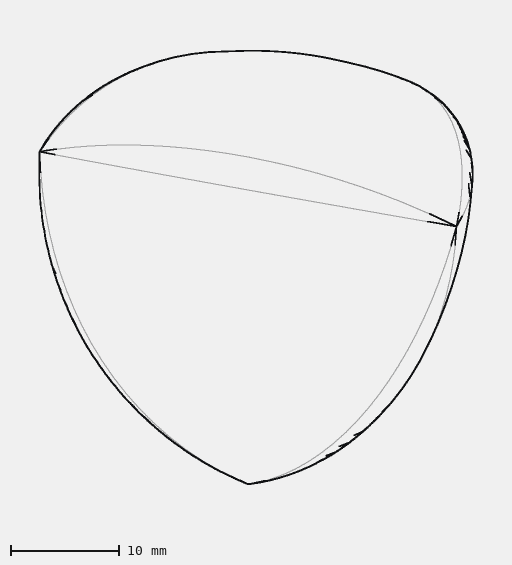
import cadquery as cq
import math

edge = 40.0
half_angle = 16.0
crown_height = 5.85
cutter_height = 10.0

face_height = edge * math.sqrt(3) / 2
depth = edge * math.sqrt(2 / 3)
corners = [
    cq.Vector(-edge / 2, 0, face_height / 3),
    cq.Vector(edge / 2, 0, face_height / 3),
    cq.Vector(0, 0, -2 * face_height / 3),
    cq.Vector(0, depth, 0),
]
center = cq.Vector(0, depth / 4, 0)

half_dihedral = math.acos(1 / 3) / 2
facet_angle = math.radians(half_angle)
run = face_height * math.cos(half_dihedral - facet_angle)
border_radius = math.sqrt(run**2 + (edge / 2) ** 2) - run
border_height = border_radius * math.cos(facet_angle)
border_offset = border_radius * math.sin(facet_angle)

sweep = math.acos(border_height / crown_height)
sweep_angle = math.degrees(sweep)
stretch = crown_height / border_radius
narrowing = border_offset / (border_radius * math.sin(sweep))


def face_ball(corner):
    """Ball centred on one corner and passing through the other three."""
    toward_center = center - corner
    return cq.Workplane(cq.Plane(corner, normal=toward_center)).sphere(edge)


def edge_cutter(start, end):
    """Block over one edge that leaves a spindle surface behind."""
    middle = (start + end) / 2
    along = (end - start).normalized()
    outward = (middle - center).normalized()
    plane = cq.Plane(middle, xDir=along, normal=along.cross(outward))
    spindle_cutter = (
        cq.Workplane("XY")
        .moveTo(-edge / 2, 0)
        .threePointArc((0, border_radius), (edge / 2, 0))
        .lineTo(edge / 2, cutter_height)
        .lineTo(-edge / 2, cutter_height)
        .close()
        .revolve(2 * sweep_angle, (-edge / 2, 0), (edge / 2, 0))
        .rotate((0, 0, 0), (1, 0, 0), -sweep_angle)
    )
    reshape = cq.Matrix([[1, 0, 0, 0], [0, stretch, 0, 0], [0, 0, narrowing, 0]])
    facet_cutter = spindle_cutter.val().transformGeometry(reshape)
    return facet_cutter.moved(cq.Location(plane))


result = face_ball(corners[0])
for corner in corners[1:]:
    result = result.intersect(face_ball(corner))

for index, start in enumerate(corners):
    for end in corners[index + 1:]:
        result = result.cut(edge_cutter(start, end))